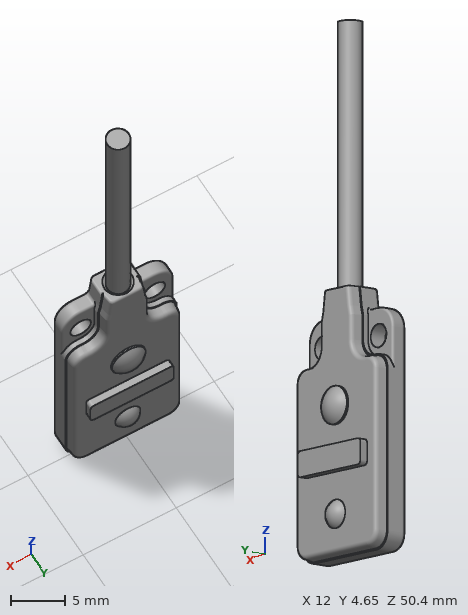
import cadquery as cq

body_width = 12.0
neck_top = 25.2
total_height = 50.4
half_width = body_width / 2

ear_thickness = 1.75
parting_height = 2.35
body_thickness = 3.6

bottom_corner_radius = 1.6
neck_top_half = 2.05
neck_base_half = 2.3
neck_base = 23.3

neck_trim = 1.5
raw_neck_top = neck_top + neck_trim
neck_slope = (neck_base_half - neck_top_half) / (neck_top - neck_base)
raw_neck_half = neck_top_half - neck_slope * neck_trim

ear_top = 23.0
ear_corner_radius = 2.05
ear_root_half = 2.65
hole_diameter = 2.2
hole_x = 4.0
hole_z = 20.3

throat_half = 2.5
throat_top = 22.45
relief_radius = 1.55
relief_start = 20.0
shoulder_z = relief_start - relief_radius

cover_step = 0.15
cover_draft = 8.0

back_fillet = 0.6
front_fillet = 0.45
ear_front_fillet = 0.25
neck_top_fillet = 0.25

cable_diameter = 2.3
cable_y = 1.8
cable_seat_radius = 1.45
cable_embed = 1.5

bar_width = 8.95
bar_height = 2.45
bar_z = 9.05
bar_top = 4.4
bar_corner_radius = 0.4
large_lens_radius = 1.8
large_lens_rim = 0.2
large_lens_top = 4.65
large_lens_z = 14.1
small_lens_radius = 1.35
small_lens_top = 4.4
small_lens_z = 3.9

embed = 0.5


def plane_at(y):
    """Work plane facing +Y, with local axes (-X, Z)."""
    return cq.Workplane("XZ", origin=(0, y, 0)).transformed(rotate=(0, 180, 0))


def lower_half_outline(y):
    """Bottom edge and lower corner, ending at the start of the straight side."""
    return (
        plane_at(y)
        .lineTo(half_width - bottom_corner_radius, 0)
        .radiusArc((half_width, bottom_corner_radius), -bottom_corner_radius)
    )


def ear_layer():
    """Back plate with the two ears, rounded along its back and front edges."""
    plate = (
        lower_half_outline(0)
        .lineTo(half_width, ear_top - ear_corner_radius)
        .radiusArc((half_width - ear_corner_radius, ear_top), -ear_corner_radius)
        .lineTo(ear_root_half, ear_top)
        .tangentArcPoint((neck_base_half, neck_base), relative=False)
        .lineTo(raw_neck_half, raw_neck_top)
        .lineTo(0, raw_neck_top)
        .mirrorY()
        .extrude(ear_thickness)
    )
    plate = plate.faces("<Y").edges().fillet(back_fillet)
    return plate.faces(">Y").edges().fillet(ear_front_fillet)


def shouldered_outline(y):
    """Closed outline with the shoulders cut back around the ears."""
    return (
        lower_half_outline(y)
        .lineTo(half_width, shoulder_z - relief_radius)
        .radiusArc((half_width - relief_radius, shoulder_z), -relief_radius)
        .lineTo(throat_half + relief_radius, shoulder_z)
        .radiusArc((throat_half, relief_start), relief_radius)
        .lineTo(throat_half, throat_top)
        .lineTo(neck_base_half, neck_base)
        .lineTo(raw_neck_half, raw_neck_top)
        .lineTo(0, raw_neck_top)
        .mirrorY()
    )


def middle_layer():
    """Straight-walled band up to the parting line; it fills the ear rounding below the shoulders."""
    base = ear_thickness - ear_front_fillet
    return shouldered_outline(base).extrude(parting_height - base)


def cover():
    """Drafted front cover, stepped in at the parting line."""
    block = (
        shouldered_outline(parting_height)
        .offset2D(-cover_step)
        .extrude(body_thickness - parting_height, taper=cover_draft)
    )
    return block.faces(">Y").edges().fillet(front_fillet)


def bar():
    """Raised bar across the cover with rounded corners."""
    base = body_thickness - embed
    return (
        plane_at(base)
        .center(0, bar_z)
        .rect(bar_width, bar_height)
        .extrude(bar_top - base)
        .edges("|Y")
        .fillet(bar_corner_radius)
    )


def lens(radius, rim, top, z):
    """Spherical cap on a short cylindrical rim, turned about the Y direction."""
    rim_y = body_thickness + rim
    rise = top - rim_y
    sphere_radius = (radius**2 + rise**2) / (2 * rise)
    return (
        cq.Workplane("XY", origin=(0, 0, z))
        .moveTo(0, body_thickness - embed)
        .lineTo(radius, body_thickness - embed)
        .lineTo(radius, rim_y)
        .radiusArc((0, top), -sphere_radius)
        .close()
        .revolve(360, (0, 0, 0), (0, 1, 0))
    )


def cable_seat():
    """Conical recess in the neck end around the cable."""
    depth = cable_seat_radius - cable_diameter / 2
    cone = cq.Solid.makeCone(
        cable_diameter / 2,
        cable_seat_radius,
        depth,
        pnt=cq.Vector(0, cable_y, neck_top - depth),
    )
    return cq.Workplane(cone)


def cable():
    """Round cable rising from inside the neck."""
    start = neck_top - cable_embed
    return (
        cq.Workplane("XY", origin=(0, cable_y, start))
        .circle(cable_diameter / 2)
        .extrude(total_height - start)
    )


def mounting_holes():
    """Cutting cylinders for the two through holes in the ears."""
    return (
        plane_at(0)
        .pushPoints([(-hole_x, hole_z), (hole_x, hole_z)])
        .circle(hole_diameter / 2)
        .extrude(body_thickness)
    )


def trimmed_housing():
    """All layers joined, with the neck cut square and its end edges rounded."""
    layers = ear_layer().union(middle_layer()).union(cover())
    envelope = cq.Workplane("XY").box(
        2 * body_width, 2 * body_width, neck_top, centered=(True, True, False)
    )
    return layers.intersect(envelope).faces(">Z").edges().fillet(neck_top_fillet)


housing = trimmed_housing().cut(mounting_holes()).cut(cable_seat())

result = (
    housing.union(bar())
    .union(lens(large_lens_radius, large_lens_rim, large_lens_top, large_lens_z))
    .union(lens(small_lens_radius, 0, small_lens_top, small_lens_z))
    .union(cable())
)